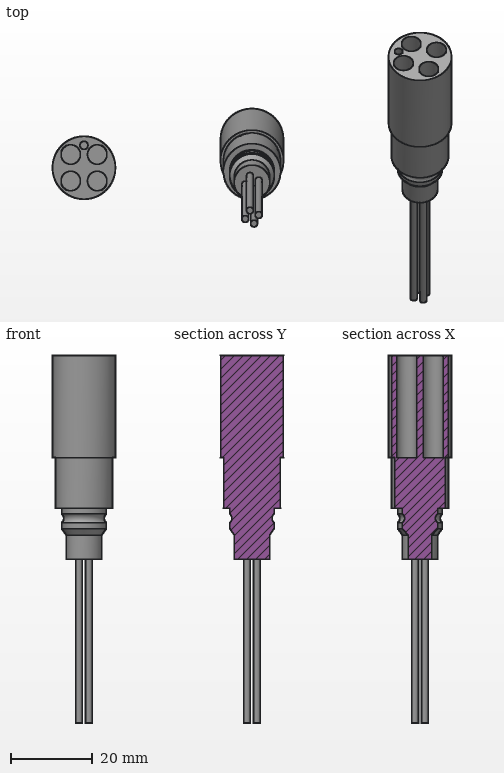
import cadquery as cq

total_height = 90.0
head_bottom = 65.0
body_bottom = 52.6
groove_top = 51.2
groove_bottom = 49.05
rim_bottom = 47.6
cone_bottom = 46.0
sleeve_bottom = 40.05

head_diameter = 15.5
body_diameter = 14.0
collar_diameter = 11.0
groove_floor_diameter = 10.0
sleeve_diameter = 8.7

socket_diameter = 4.8
socket_pitch = 6.5
socket_depth = total_height - head_bottom

key_diameter = 2.0
key_center_y = 5.5
key_depth = socket_depth

wire_diameter = 1.7
wire_pitch = 2.4


def turned_body():
    """Revolve the stepped half profile, with its round groove, about Z."""
    head_radius = head_diameter / 2
    body_radius = body_diameter / 2
    collar_radius = collar_diameter / 2
    sleeve_radius = sleeve_diameter / 2
    groove_middle = (groove_floor_diameter / 2, (groove_top + groove_bottom) / 2)
    profile = (
        cq.Workplane("XZ")
        .moveTo(0, total_height)
        .lineTo(head_radius, total_height)
        .lineTo(head_radius, head_bottom)
        .lineTo(body_radius, head_bottom)
        .lineTo(body_radius, body_bottom)
        .lineTo(collar_radius, body_bottom)
        .lineTo(collar_radius, groove_top)
        .threePointArc(groove_middle, (collar_radius, groove_bottom))
        .lineTo(collar_radius, rim_bottom)
        .lineTo(sleeve_radius, cone_bottom)
        .lineTo(sleeve_radius, sleeve_bottom)
        .lineTo(0, sleeve_bottom)
        .close()
    )
    return profile.revolve(360, (0, 0, 0), (0, 1, 0))


def square_of_cylinders(pitch, diameter, bottom, height):
    """Four upright cylinders centred on the corners of a square."""
    return (
        cq.Workplane("XY", origin=(0, 0, bottom))
        .rarray(pitch, pitch, 2, 2)
        .circle(diameter / 2)
        .extrude(height)
    )


def key_hole():
    """Cylinder that cuts the keying hole down from the end face."""
    return (
        cq.Workplane("XY", origin=(0, key_center_y, total_height))
        .circle(key_diameter / 2)
        .extrude(-key_depth)
    )


wires = square_of_cylinders(wire_pitch, wire_diameter, 0, sleeve_bottom)
sockets = square_of_cylinders(socket_pitch, socket_diameter, head_bottom, socket_depth)

result = turned_body().union(wires).cut(sockets).cut(key_hole())